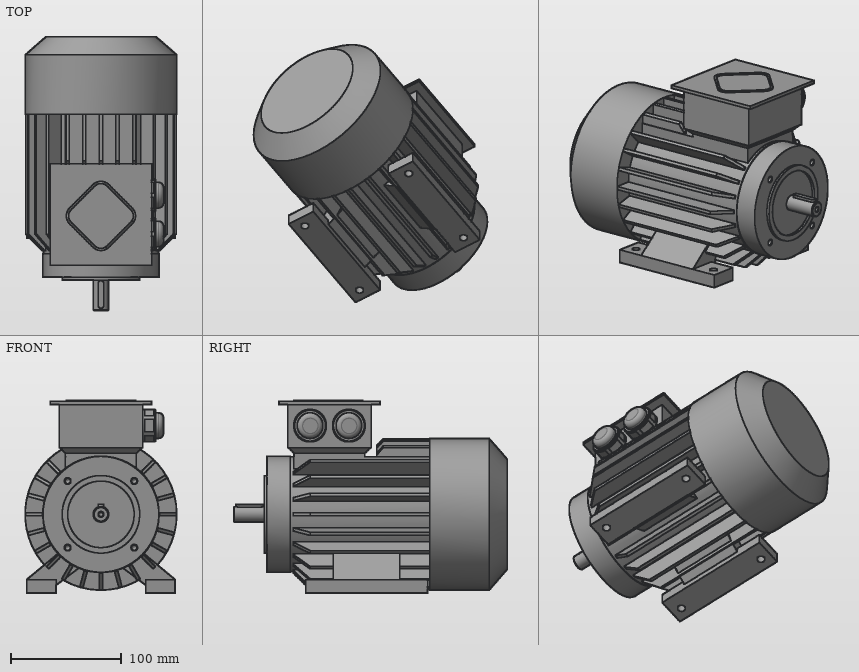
import cadquery as cq
import math


SHAFT_DIAMETER = 14.0
SHAFT_LENGTH = 30.0
SHAFT_CHAMFER = 0.8
SHAFT_HOLE_DIAMETER = 4.13
SHAFT_HOLE_DEPTH = 12.0
KEY_WIDTH = 5.0
KEY_LENGTH = 25.0
KEY_START = 3.0
KEY_TOP = 9.0

FLANGE_DIAMETER = 105.0
FLANGE_THICKNESS = 21.0
SPIGOT_DIAMETER = 70.0
SPIGOT_HEIGHT = 2.5
RECESS_DIAMETER = 60.0
FLANGE_HOLE_DIAMETER = 4.92
FLANGE_HOLE_DEPTH = 12.0
FLANGE_HOLE_CIRCLE = 85.0
FLANGE_HOLE_COUNT = 4
THREAD_CHAMFER = 0.5
DRILL_TIP_ANGLE = 118.0

BODY_RADIUS = 52.0
FIN_RADIUS = 68.0
FIN_THICKNESS = 3.0
FIN_FRONT = 24.0
FIN_FRONT_TAPER = 15.0
FIN_ANGLE_STEP = 15
FIRST_FIN_ANGLE = 135
LAST_FIN_ANGLE = 405
TOP_FIN_COUNT = 5
TOP_FIN_PITCH = 15.0
TOP_FIN_FRONT = 99.0
TOP_FIN_TAPER = 6.0

COVER_RADIUS = 68.5
COVER_FRONT = 147.0
COVER_SHOULDER = 200.5
COVER_END = 217.0
COVER_END_RADIUS = 49.5
COVER_BULGE = 0.1

BOX_CENTER_Y = 56.5
BOX_SIZE = 75.5
BOX_BOTTOM = 60.0
LID_SIZE = 91.5
LID_BOTTOM = 99.0
LID_THICKNESS = 3.0
NECK_SIZE = 64.0
BEVEL_HEIGHT = 5.0
FRAME_SIZE = 50.0
FRAME_WIDTH = 2.0
FRAME_HEIGHT = 1.0
FRAME_CORNER_RADIUS = 10.0
FRAME_CENTER_Y = 55.3

GLAND_PITCH = 35.0
GLAND_Z = 80.0
GLAND_DIAMETER = 29.5
GLAND_LENGTH = 11.5
GLAND_CHAMFER = 0.8
GLAND_ACROSS_FLATS = 27.2
FLAT_START = 1.8
FLAT_LENGTH = 8.0
DOME_DIAMETER = 23.26
DOME_LENGTH = 7.25
DOME_FILLET = 4.7

AXIS_HEIGHT = 71.0
FOOT_THICKNESS = 12.2
FOOT_OUTER_X = 67.0
FOOT_INNER_X = 40.4
FOOT_LENGTH = 110.0
FOOT_CENTER_Y = 90.0
FOOT_HOLE_DIAMETER = 7.0
FOOT_HOLE_PITCH_X = 112.0
FOOT_HOLE_PITCH_Y = 90.0
WEB_LENGTH = 60.0
WEB_INNER_HEIGHT = 7.0
WEB_UPPER_ROOT = (37.0, -34.0)
WEB_LOWER_ROOT = (18.0, -47.0)


def cylinder_y(radius, y_start, y_end):
    """Solid cylinder on the motor axis between two Y positions."""
    solid = cq.Solid.makeCylinder(radius, y_end - y_start, cq.Vector(0, y_start, 0), cq.Vector(0, 1, 0))
    return cq.Workplane(solid)


def block(size_x, size_y, z_bottom, z_top, center_y):
    """Box centred on X = 0 between two heights."""
    return (
        cq.Workplane("XY", origin=(0, center_y, z_bottom))
        .rect(size_x, size_y)
        .extrude(z_top - z_bottom)
    )


def tapped_hole(diameter, depth, x, y, z):
    """Cutter for a blind hole along +Y with a drill tip and a chamfered mouth."""
    radius = diameter / 2
    mouth = radius + THREAD_CHAMFER
    tip = radius / math.tan(math.radians(DRILL_TIP_ANGLE / 2))
    profile = [(0, 0), (mouth, 0), (radius, THREAD_CHAMFER), (radius, depth), (0, depth + tip)]
    cutter = cq.Workplane("XY").polyline(profile).close().revolve(360, (0, 0, 0), (0, 1, 0))
    return cutter.translate((x, y, z))


def make_shaft():
    shaft = cylinder_y(SHAFT_DIAMETER / 2, -SHAFT_LENGTH, FLANGE_THICKNESS)
    shaft = shaft.faces("<Y").chamfer(SHAFT_CHAMFER)
    key = (
        cq.Workplane("XY", origin=(0, -KEY_START - KEY_LENGTH / 2, 0))
        .slot2D(KEY_LENGTH, KEY_WIDTH, 90)
        .extrude(KEY_TOP)
    )
    hole = tapped_hole(SHAFT_HOLE_DIAMETER, SHAFT_HOLE_DEPTH, 0, -SHAFT_LENGTH, 0)
    return shaft.union(key).cut(hole)


def make_flange():
    flange = cylinder_y(FLANGE_DIAMETER / 2, 0, FLANGE_THICKNESS)
    spigot = cylinder_y(SPIGOT_DIAMETER / 2, -SPIGOT_HEIGHT, 0)
    recess = cylinder_y(RECESS_DIAMETER / 2, -SPIGOT_HEIGHT, 0)
    flange = flange.union(spigot.cut(recess))
    for index in range(FLANGE_HOLE_COUNT):
        angle = math.radians(45 + index * 360 / FLANGE_HOLE_COUNT)
        x = FLANGE_HOLE_CIRCLE / 2 * math.cos(angle)
        z = FLANGE_HOLE_CIRCLE / 2 * math.sin(angle)
        flange = flange.cut(tapped_hole(FLANGE_HOLE_DIAMETER, FLANGE_HOLE_DEPTH, x, 0, z))
    return flange


def fin_envelope(front, taper):
    """Solid of revolution that limits the fins, with a 45 degree cone at the front."""
    profile = [
        (0, front),
        (FIN_RADIUS - taper, front),
        (FIN_RADIUS, front + taper),
        (FIN_RADIUS, COVER_FRONT),
        (0, COVER_FRONT),
    ]
    return cq.Workplane("XY").polyline(profile).close().revolve(360, (0, 0, 0), (0, 1, 0))


def upright_fin(front):
    """Untrimmed fin standing up from the motor axis."""
    return block(FIN_THICKNESS, COVER_FRONT - front, 0, COVER_RADIUS, (front + COVER_FRONT) / 2)


def make_radial_fins():
    """Fins around the sides and bottom, leaving the top free for the terminal box."""
    fin = upright_fin(FIN_FRONT).intersect(fin_envelope(FIN_FRONT, FIN_FRONT_TAPER))
    fins = cq.Workplane()
    for angle in range(FIRST_FIN_ANGLE, LAST_FIN_ANGLE + 1, FIN_ANGLE_STEP):
        fins = fins.add(fin.rotate((0, 0, 0), (0, 1, 0), 90 - angle))
    return fins.combine()


def make_top_fins():
    """Parallel vertical fins behind the terminal box."""
    fins = cq.Workplane()
    for index in range(TOP_FIN_COUNT):
        x = (index - (TOP_FIN_COUNT - 1) / 2) * TOP_FIN_PITCH
        fins = fins.add(upright_fin(TOP_FIN_FRONT).translate((x, 0, 0)))
    return fins.combine().intersect(fin_envelope(TOP_FIN_FRONT, TOP_FIN_TAPER))


def make_body():
    body = cylinder_y(BODY_RADIUS, FLANGE_THICKNESS, COVER_FRONT)
    pad_front = BOX_CENTER_Y - NECK_SIZE / 2
    pad = block(NECK_SIZE, COVER_FRONT - pad_front, 0, BODY_RADIUS, (pad_front + COVER_FRONT) / 2)
    return body.union(pad)


def make_fan_cover():
    mid_radius = (COVER_RADIUS + COVER_END_RADIUS) / 2 + COVER_BULGE
    mid_y = (COVER_SHOULDER + COVER_END) / 2 + COVER_BULGE
    return (
        cq.Workplane("XY")
        .moveTo(0, COVER_FRONT)
        .lineTo(COVER_RADIUS, COVER_FRONT)
        .lineTo(COVER_RADIUS, COVER_SHOULDER)
        .threePointArc((mid_radius, mid_y), (COVER_END_RADIUS, COVER_END))
        .lineTo(0, COVER_END)
        .close()
        .revolve(360, (0, 0, 0), (0, 1, 0))
    )


def make_terminal_box():
    lid_top = LID_BOTTOM + LID_THICKNESS
    bevel_bottom = BOX_BOTTOM - BEVEL_HEIGHT
    bevel_top_size = NECK_SIZE + 2 * BEVEL_HEIGHT
    neck = block(NECK_SIZE, NECK_SIZE, 0, bevel_bottom, BOX_CENTER_Y)
    bevel = (
        cq.Workplane("XY", origin=(0, BOX_CENTER_Y, bevel_bottom))
        .rect(NECK_SIZE, NECK_SIZE)
        .workplane(offset=BEVEL_HEIGHT)
        .rect(bevel_top_size, bevel_top_size)
        .loft(ruled=True)
    )
    box = block(BOX_SIZE, BOX_SIZE, BOX_BOTTOM, LID_BOTTOM, BOX_CENTER_Y)
    lid = block(LID_SIZE, LID_SIZE, LID_BOTTOM, lid_top, BOX_CENTER_Y)
    return neck.union(bevel).union(box).union(lid).union(make_lid_frame(lid_top))


def rounded_square(size, corner_radius, z_bottom, z_top):
    """Square plate centred on the Z axis with rounded upright edges."""
    return block(size, size, z_bottom, z_top, 0).edges("|Z").fillet(corner_radius)


def make_lid_frame(lid_top):
    """Raised rounded-square frame on the lid, turned to stand on its corner."""
    frame_top = lid_top + FRAME_HEIGHT
    inner_radius = FRAME_CORNER_RADIUS - FRAME_WIDTH
    outer = rounded_square(FRAME_SIZE, FRAME_CORNER_RADIUS, lid_top, frame_top)
    inner = rounded_square(FRAME_SIZE - 2 * FRAME_WIDTH, inner_radius, lid_top, frame_top)
    frame = outer.cut(inner).rotate((0, 0, 0), (0, 0, 1), 45)
    return frame.translate((0, FRAME_CENTER_Y, 0))


def make_gland():
    """Cable gland along +X with its base at the origin."""
    nut = cq.Workplane("YZ").circle(GLAND_DIAMETER / 2).extrude(GLAND_LENGTH)
    nut = nut.faces(">X").chamfer(GLAND_CHAMFER)
    corner_diameter = GLAND_ACROSS_FLATS / math.cos(math.pi / 6)
    flats = (
        cq.Workplane("YZ", origin=(FLAT_START, 0, 0))
        .circle(GLAND_DIAMETER)
        .extrude(FLAT_LENGTH)
        .cut(
            cq.Workplane("YZ", origin=(FLAT_START, 0, 0))
            .transformed(rotate=(0, 0, 30))
            .polygon(6, corner_diameter)
            .extrude(FLAT_LENGTH)
        )
    )
    dome = (
        cq.Workplane("YZ", origin=(GLAND_LENGTH, 0, 0))
        .circle(DOME_DIAMETER / 2)
        .extrude(DOME_LENGTH)
        .faces(">X")
        .edges()
        .fillet(DOME_FILLET)
    )
    return nut.cut(flats).union(dome)


def make_foot():
    """Foot on the +X side: drilled plate and the sloping web that carries it."""
    foot_top = FOOT_THICKNESS - AXIS_HEIGHT
    width = FOOT_OUTER_X - FOOT_INNER_X
    plate = block(width, FOOT_LENGTH, -AXIS_HEIGHT, foot_top, FOOT_CENTER_Y)
    plate = plate.translate(((FOOT_OUTER_X + FOOT_INNER_X) / 2, 0, 0))
    web_profile = [
        (FOOT_OUTER_X, foot_top),
        WEB_UPPER_ROOT,
        WEB_LOWER_ROOT,
        (FOOT_INNER_X, WEB_INNER_HEIGHT - AXIS_HEIGHT),
        (FOOT_OUTER_X, WEB_INNER_HEIGHT - AXIS_HEIGHT),
    ]
    web = (
        cq.Workplane("XZ", origin=(0, FOOT_CENTER_Y + WEB_LENGTH / 2, 0))
        .polyline(web_profile)
        .close()
        .extrude(WEB_LENGTH)
    )
    holes = (
        cq.Workplane("XY", origin=(FOOT_HOLE_PITCH_X / 2, FOOT_CENTER_Y, -AXIS_HEIGHT))
        .rarray(1, FOOT_HOLE_PITCH_Y, 1, 2)
        .circle(FOOT_HOLE_DIAMETER / 2)
        .extrude(FOOT_THICKNESS)
    )
    return plate.union(web).cut(holes)


def make_motor():
    motor = make_body().union(make_radial_fins()).union(make_top_fins())
    motor = motor.union(make_fan_cover()).union(make_terminal_box())
    for side in (-1, 1):
        y = BOX_CENTER_Y + side * GLAND_PITCH / 2
        motor = motor.union(make_gland().translate((BOX_SIZE / 2, y, GLAND_Z)))
    foot = make_foot()
    motor = motor.union(foot).union(foot.mirror("YZ"))
    return motor.union(make_flange()).union(make_shaft())


result = make_motor()